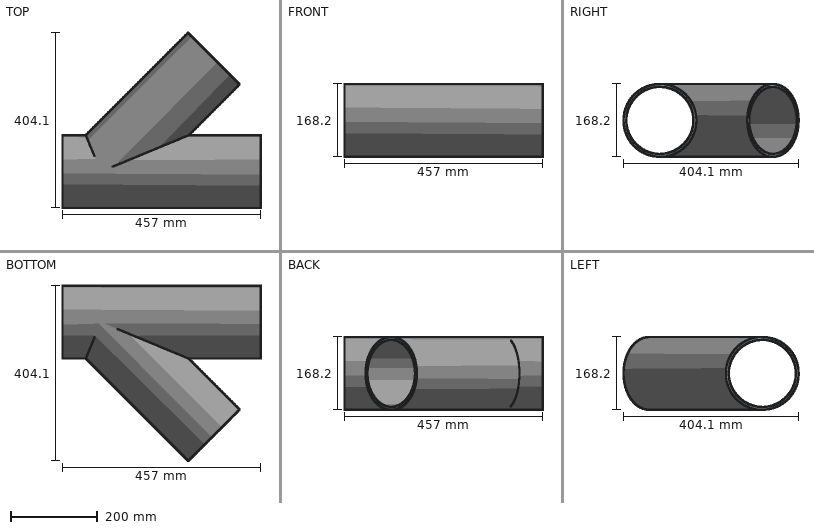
import cadquery as cq
import math

outer_diameter = 168.2
inner_diameter = 154.0
run_length = 457.0
branch_angle = 45.0
branch_length = 368.5
junction_x = 88.5

slant = math.radians(branch_angle)
run_start = cq.Vector(0, 0, 0)
run_direction = cq.Vector(1, 0, 0)
junction = cq.Vector(junction_x, 0, 0)
branch_direction = cq.Vector(math.cos(slant), math.sin(slant), 0)


def wye_solid(diameter):
    """Joined solid cylinders of one diameter along the run and the branch."""
    radius = diameter / 2
    run = cq.Solid.makeCylinder(radius, run_length, run_start, run_direction)
    branch = cq.Solid.makeCylinder(radius, branch_length, junction, branch_direction)
    return cq.Workplane(obj=run).union(cq.Workplane(obj=branch))


result = wye_solid(outer_diameter).cut(wye_solid(inner_diameter))